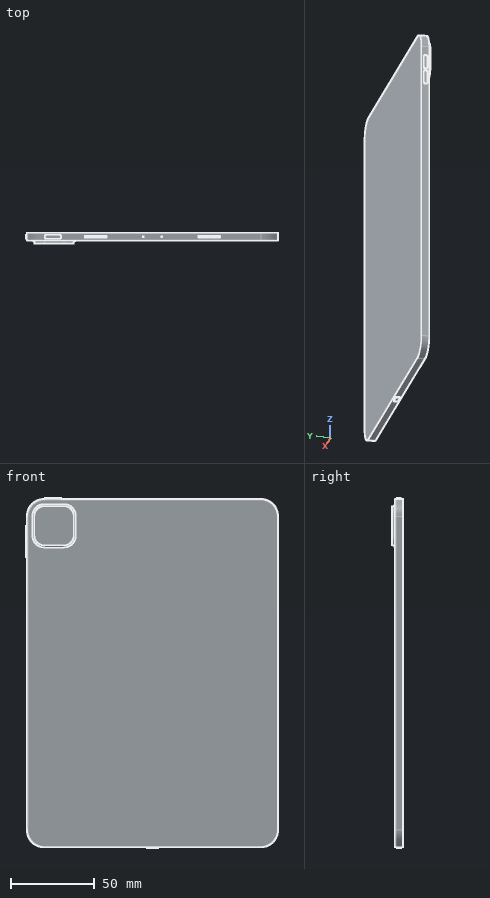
import cadquery as cq

OVERALL_WIDTH = 150.5
OVERALL_HEIGHT = 209.0

PROUD = 0.52
ROOT_DEPTH = 1.0
KEY_THICKNESS = 2.3
POWER_KEY_LENGTH = 10.0
POWER_KEY_X = -59.4
VOLUME_KEY_LENGTH = 8.8
VOLUME_KEYS_Z = (83.5, 73.5)
CONNECTOR_LENGTH = 7.0
CONNECTOR_THICKNESS = 2.7

WIDTH = OVERALL_WIDTH - PROUD
HEIGHT = OVERALL_HEIGHT - 2 * PROUD
THICKNESS = 5.0
CORNER_RADIUS = 10.5
BACK_FILLET = 0.6

OPENING_DEPTH = 1.0
SPEAKER_HOLE_DIAMETER = 1.3
SPEAKER_HOLE_PITCH = 1.71
HOLES_PER_SPEAKER = 8
SPEAKER_OFFSET = 33.9
MICROPHONE_DIAMETER = 0.6
MICROPHONE_OFFSET = 5.5

CAMERA_SIZE = 23.5
CAMERA_HEIGHT = 1.7
CAMERA_CORNER_RADIUS = 5.9
CAMERA_FLARE = 1.3
CAMERA_SIDE_INSET = 16.3
CAMERA_TOP_INSET = 16.0

UP = (0, 0, 1)
DOWN = (0, 0, -1)
LEFT = (-1, 0, 0)

MID_Y = THICKNESS / 2
HALF_WIDTH = WIDTH / 2
HALF_HEIGHT = HEIGHT / 2
CAMERA_X = -HALF_WIDTH + CAMERA_SIDE_INSET
CAMERA_Z = HALF_HEIGHT - CAMERA_TOP_INSET


def rim_plane(x, z, outward):
    """Plane halfway through the rim, with its local x axis running along the rim."""
    along = UP if outward == LEFT else (1, 0, 0)
    return cq.Plane(origin=(x, MID_Y, z), xDir=along, normal=outward)


def raised_pill(x, z, outward, length, thickness):
    """Round-ended bar rooted in the rim and standing proud of it."""
    return (
        cq.Workplane(rim_plane(x, z, outward))
        .workplane(offset=-ROOT_DEPTH)
        .slot2D(length, thickness)
        .extrude(ROOT_DEPTH + PROUD)
    )


def top_hole(x, diameter):
    """Cutter for a blind round hole sunk into the top rim."""
    return (
        cq.Workplane(rim_plane(x, HALF_HEIGHT, UP))
        .circle(diameter / 2)
        .extrude(-OPENING_DEPTH)
    )


def make_slab():
    """Rounded rectangular slab with a softened back edge."""
    slab = (
        cq.Workplane("XZ")
        .rect(WIDTH, HEIGHT)
        .extrude(-THICKNESS)
        .edges("|Y")
        .fillet(CORNER_RADIUS)
    )
    return slab.faces("<Y").edges().fillet(BACK_FILLET)


def add_keys_and_connector(body):
    body = body.union(raised_pill(POWER_KEY_X, HALF_HEIGHT, UP, POWER_KEY_LENGTH, KEY_THICKNESS))
    for z in VOLUME_KEYS_Z:
        body = body.union(raised_pill(-HALF_WIDTH, z, LEFT, VOLUME_KEY_LENGTH, KEY_THICKNESS))
    return body.union(raised_pill(0, -HALF_HEIGHT, DOWN, CONNECTOR_LENGTH, CONNECTOR_THICKNESS))


def cut_sound_openings(body):
    """Two rows of speaker holes with a pair of microphone holes between them."""
    for side in (-1, 1):
        body = body.cut(top_hole(side * MICROPHONE_OFFSET, MICROPHONE_DIAMETER))
        for index in range(HOLES_PER_SPEAKER):
            from_middle = (index - (HOLES_PER_SPEAKER - 1) / 2) * SPEAKER_HOLE_PITCH
            x = side * SPEAKER_OFFSET + from_middle
            body = body.cut(top_hole(x, SPEAKER_HOLE_DIAMETER))
    return body


def make_housing():
    return cut_sound_openings(add_keys_and_connector(make_slab())).solids()


def make_camera_cover():
    """Rounded square plate whose foot flares out concavely onto the back of the slab."""
    camera_plane = cq.Workplane("XZ").center(CAMERA_X, CAMERA_Z)
    plate = (
        camera_plane.rect(CAMERA_SIZE, CAMERA_SIZE)
        .extrude(CAMERA_HEIGHT)
        .edges("|Y")
        .fillet(CAMERA_CORNER_RADIUS)
    )
    block_size = 2 * CAMERA_SIZE
    block = camera_plane.rect(block_size, block_size).extrude(-THICKNESS)
    shoulder = plate.union(block).faces("<Y[1]")
    flared = shoulder.wires(cq.selectors.LengthNthSelector(0)).fillet(CAMERA_FLARE)
    return flared.cut(block).solids()


housing = make_housing()
camera_cover = make_camera_cover()
result = cq.Compound.makeCompound([housing.val(), camera_cover.val()])